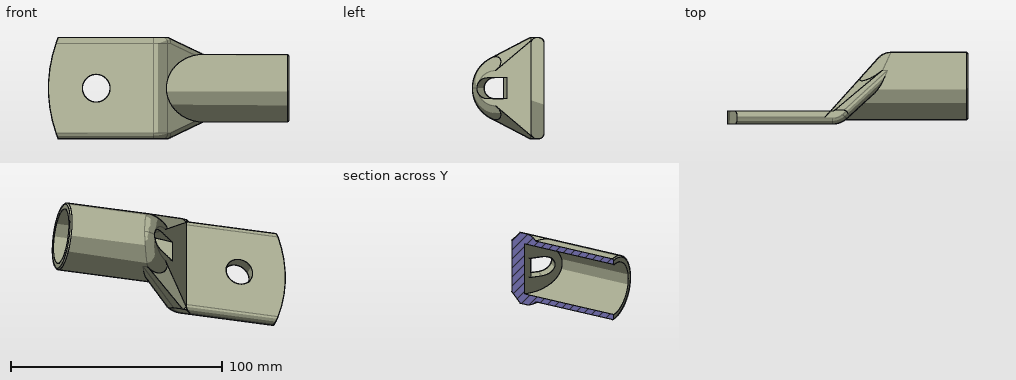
import cadquery as cq
import math

length = 113.8
palm_width = 48.0
palm_thickness = 6.3
palm_edge_radius = 2.8
tip_sagitta = 4.7
bolt_hole_diameter = 13.0
bolt_hole_x = 22.7

barrel_diameter = 32.0
bore_diameter = 26.0
barrel_front_y = 2.0
barrel_start_x = 55.7
barrel_end_chamfer = 0.7

slope_angle = 48.0
back_bend_x = 48.8
front_slope_angle = 42.5
front_bend_x = 53.6
front_bend_radius = 9.8
shoulder_radius = 8.0
shoulder_y = 6.6

cheek_bottom_z = 22.2
cheek_top_y = 26.6
cheek_top_z = 5.2
cheek_flank_x = 73.3
cheek_flank_y = 25.5
cheek_flank_z = 14.1

slot_width = 9.9
slot_bottom_y = 17.5
slot_throat_bottom_y = 19.4
slot_top_y = 31.9
slot_wall = 5.2
mouth_clearance = 2.3

half_width = palm_width / 2
barrel_radius = barrel_diameter / 2
barrel_axis_y = barrel_front_y + barrel_radius
barrel_back_y = barrel_front_y + barrel_diameter
slope = math.radians(slope_angle)
front_slope = math.radians(front_slope_angle)


def back_slope_x(y, depth=0.0):
    """X on the back slope at height y, or on its parallel at a depth below it."""
    return back_bend_x + (y - palm_thickness) / math.tan(slope) + depth / math.sin(slope)


def front_slope_x(y):
    return front_bend_x + y / math.tan(front_slope)


def across(profile):
    """Extrude an XY profile symmetrically over more than the whole width."""
    return profile.extrude(palm_width, both=True)


def bent_sheet():
    """Palm and sloping web, narrowing along tangents to the barrel."""
    top_y = barrel_axis_y + barrel_radius / 2
    sheet = across(
        cq.Workplane("XY")
        .moveTo(0, 0)
        .lineTo(front_bend_x, 0)
        .lineTo(front_slope_x(top_y), top_y)
        .lineTo(back_slope_x(top_y), top_y)
        .lineTo(back_bend_x, palm_thickness)
        .lineTo(0, palm_thickness)
        .close()
    )
    sheet = sheet.faces("<Y").edges("|Z and >X").fillet(front_bend_radius)

    rise = shoulder_y - barrel_axis_y
    reach = math.hypot(rise, half_width)
    tangent_angle = math.atan2(half_width, rise) - math.acos(barrel_radius / reach)
    tangent_y = barrel_axis_y + barrel_radius * math.cos(tangent_angle)
    tangent_z = barrel_radius * math.sin(tangent_angle)
    envelope = (
        cq.Workplane("YZ")
        .polyline([
            (0, -half_width), (shoulder_y, -half_width), (tangent_y, -tangent_z),
            (tangent_y, tangent_z), (shoulder_y, half_width), (0, half_width),
        ])
        .close()
        .extrude(length)
    )
    sheet = sheet.intersect(envelope)
    web_front = sheet.faces(cq.selectors.DirectionMinMaxSelector(
        cq.Vector(math.sin(front_slope), -math.cos(front_slope), 0), True
    ))
    front_edges = sheet.faces("<Y").edges("|X").add(web_front.edges("not |Z"))
    sheet = front_edges.fillet(palm_edge_radius)
    palm_back = sheet.faces(cq.selectors.NearestToPointSelector((back_bend_x / 2, palm_thickness, 0)))
    return palm_back.edges("|X").fillet(palm_edge_radius)


def barrel():
    """Solid barrel, cut along the back slope and rounded at its palm end."""
    tube = (
        cq.Workplane("YZ", origin=(barrel_start_x, 0, 0))
        .center(barrel_axis_y, 0)
        .circle(barrel_radius)
        .extrude(length - barrel_start_x)
        .faces(">X").edges().chamfer(barrel_end_chamfer)
    )
    side_profile = across(
        cq.Workplane("XY")
        .polyline([
            (length, 0),
            (back_slope_x(0), 0),
            (back_slope_x(barrel_back_y), barrel_back_y),
            (length, barrel_back_y),
        ])
        .close()
    )
    sloped_end = tube.intersect(side_profile)
    rounded_end = sloped_end.faces(cq.selectors.DirectionMinMaxSelector(
        cq.Vector(-math.sin(slope), math.cos(slope), 0), True
    )).edges("%ELLIPSE").fillet(shoulder_radius)
    full_round = across(
        cq.Workplane("XY")
        .polyline([
            (front_slope_x(0), 0),
            (front_slope_x(barrel_back_y), barrel_back_y),
            (length, barrel_back_y),
            (length, 0),
        ])
        .close()
    )
    return rounded_end.union(tube.intersect(full_round))


def cheek_cutter(side):
    """Half-space trimming the slope down to the barrel flank on one side (+1 or -1 in Z)."""
    flat_bottom = cq.Vector(back_slope_x(shoulder_y), shoulder_y, side * cheek_bottom_z)
    flat_top = cq.Vector(back_slope_x(cheek_top_y), cheek_top_y, side * cheek_top_z)
    flank = cq.Vector(cheek_flank_x, cheek_flank_y, side * cheek_flank_z)
    normal = (flat_top - flat_bottom).cross(flank - flat_bottom)
    if normal.x > 0:
        normal = normal * -1
    half_space = (
        cq.Workplane(cq.Plane(flat_top, flat_top - flat_bottom, normal))
        .rect(2 * length, 2 * length)
        .extrude(length)
    )
    above_palm = (
        cq.Workplane("XZ", origin=(0, palm_thickness, 0))
        .rect(2 * length, palm_width)
        .extrude(-length)
    )
    return half_space.intersect(above_palm)


def bore():
    """Cable bore, closed by a wall parallel to the back slope."""
    cylinder = (
        cq.Workplane("YZ")
        .center(barrel_axis_y, 0)
        .circle(bore_diameter / 2)
        .extrude(length)
    )
    limit = across(
        cq.Workplane("XY").polyline([
            (back_slope_x(0, slot_wall), 0),
            (length, 0),
            (length, barrel_back_y),
            (back_slope_x(barrel_back_y, slot_wall), barrel_back_y),
        ]).close()
    )
    return cylinder.intersect(limit)


def inspection_slot():
    """Slot with a ramped floor and a rounded end at the barrel's back."""
    plane = cq.Plane(
        (back_slope_x(slot_top_y), slot_top_y, 0),
        xDir=(math.cos(slope), math.sin(slope), 0),
        normal=(math.sin(slope), -math.cos(slope), 0),
    )
    half_slot = slot_width / 2
    round_length = half_slot / math.sin(slope)
    obround = (
        cq.Workplane(plane)
        .workplane(offset=-mouth_clearance)
        .moveTo(-length / 2, -half_slot)
        .lineTo(-round_length, -half_slot)
        .ellipseArc(round_length, half_slot, -90, 90, sense=1)
        .lineTo(-length / 2, half_slot)
        .close()
        .extrude(2 * mouth_clearance + slot_wall)
    )
    floor_start_x = back_slope_x(slot_bottom_y)
    floor_end_x = back_slope_x(slot_throat_bottom_y, slot_wall)
    floor_limit = across(
        cq.Workplane("XY").polyline([
            (0, slot_bottom_y),
            (floor_start_x, slot_bottom_y),
            (floor_end_x, slot_throat_bottom_y),
            (length, slot_throat_bottom_y),
            (length, barrel_back_y),
            (0, barrel_back_y),
        ]).close()
    )
    return obround.intersect(floor_limit)


def palm_outline():
    """Plan outline with the bowed tip."""
    return (
        cq.Workplane("XZ")
        .moveTo(tip_sagitta, -half_width)
        .threePointArc((0, 0), (tip_sagitta, half_width))
        .lineTo(length, half_width)
        .lineTo(length, -half_width)
        .close()
        .extrude(-barrel_back_y)
    )


body = bent_sheet()
for side in (1, -1):
    body = body.cut(cheek_cutter(side))
body = body.union(barrel())
bolt_hole = (
    cq.Workplane("XZ")
    .center(bolt_hole_x, 0)
    .circle(bolt_hole_diameter / 2)
    .extrude(-palm_thickness)
)
result = body.cut(bore()).cut(inspection_slot()).cut(bolt_hole).intersect(palm_outline())